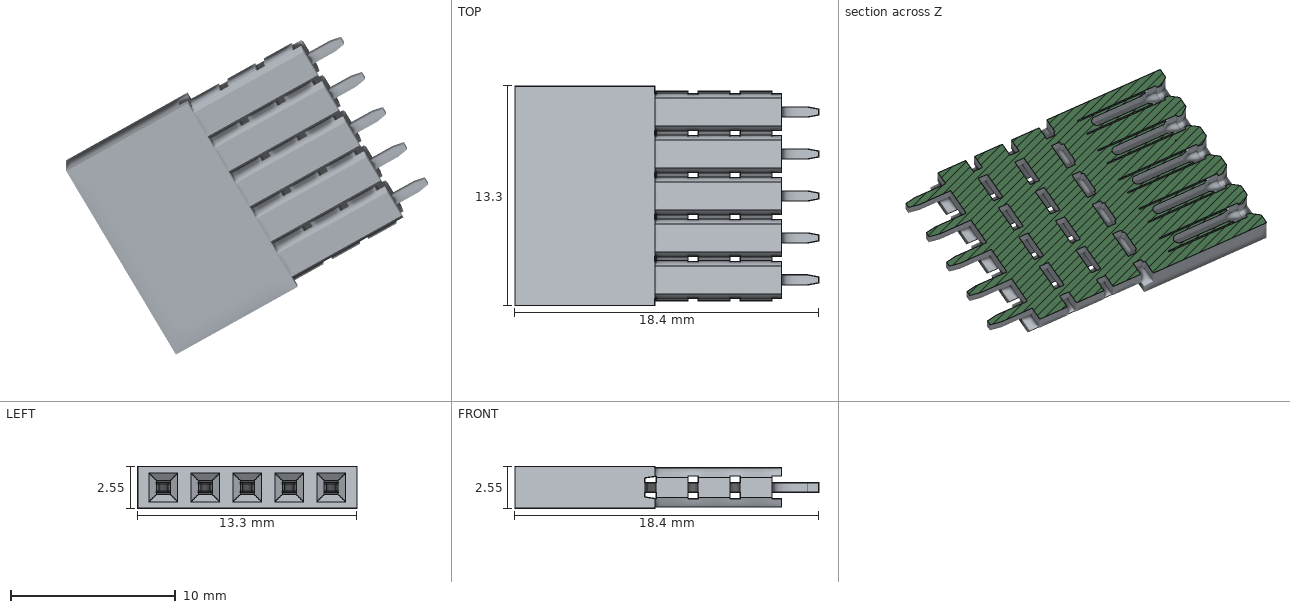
import cadquery as cq

total_length = 18.43
pole_count = 5
pitch = 2.55
pole_centres = [(i - (pole_count - 1) / 2) * pitch for i in range(pole_count)]

body_length = 8.5
body_width = 13.3
body_height = 2.55
notch_floor_x = 7.89
notch_floor_height = 1.15
notch_mouth_height = 1.33

rail_end_x = 16.18
rail_height = 2.4
rail_flat_width = 1.7
rail_base_width = 2.32

block_count = 3
block_height = 1.22
block_start_x = 8.57
block_length = 1.94
block_spacing = pitch
window_height = 1.36
tail_width = pole_count * pitch

funnel_mouth = 1.73
funnel_depth = 0.55
throat_size = 0.85
chamber_start_x = 0.85
chamber_end_x = 6.27
chamber_width = 1.18
chamber_height = 0.95

contact_thickness = 0.59
fork_width = 1.07
fork_tip_x = 1.47
fork_lead_in_length = 0.45
fork_lead_in_width = 0.22
fork_gap = 0.55
fork_gap_end_x = 5.53
fork_gap_chamfer = 0.07
shoulder_x = 8.02
pin_width = 0.63
pin_taper_x = 17.73
pin_tip_width = 0.37


def box_along_x(start_x, end_x, width, height, y=0.0):
    """Box between two X stations, centred on the given Y and on Z = 0."""
    length = end_x - start_x
    return cq.Workplane("XY").box(length, width, height).translate((start_x + length / 2, y, 0))


def make_body():
    body = box_along_x(0, body_length, body_width, body_height)
    notch = (
        cq.Workplane("XZ")
        .moveTo(notch_floor_x, -notch_floor_height / 2)
        .lineTo(body_length, -notch_mouth_height / 2)
        .lineTo(body_length, notch_mouth_height / 2)
        .lineTo(notch_floor_x, notch_floor_height / 2)
        .close()
        .extrude(body_width / 2, both=True)
    )
    return body.cut(notch)


def make_rail(y):
    """Bar whose top and bottom edges are chamfered down to the cross blocks."""
    half_section = [
        (rail_flat_width / 2, rail_height / 2),
        (rail_base_width / 2, block_height / 2),
        (rail_base_width / 2, -block_height / 2),
        (rail_flat_width / 2, -rail_height / 2),
    ]
    mirrored = [(-across, up) for across, up in reversed(half_section)]
    return (
        cq.Workplane("YZ", origin=(body_length, y, 0))
        .polyline(half_section + mirrored)
        .close()
        .extrude(rail_end_x - body_length)
    )


def make_tail():
    """Rails and cross blocks, with windows cut before, between and after the blocks."""
    tail = make_rail(pole_centres[0])
    for y in pole_centres[1:]:
        tail = tail.union(make_rail(y))
    window_start = body_length
    for i in range(block_count):
        block_start = block_start_x + i * block_spacing
        block_end = block_start + block_length
        tail = tail.union(box_along_x(block_start, block_end, tail_width, block_height))
        tail = tail.cut(box_along_x(window_start, block_start, tail_width, window_height))
        window_start = block_end
    return tail.cut(box_along_x(window_start, rail_end_x, tail_width, window_height))


def make_socket(y):
    """Tapered entry, square throat and contact chamber, as one cutting solid."""
    funnel = (
        cq.Workplane("YZ", origin=(0, y, 0))
        .rect(funnel_mouth, funnel_mouth)
        .workplane(offset=funnel_depth)
        .rect(throat_size, throat_size)
        .loft(ruled=True)
    )
    throat = box_along_x(funnel_depth, chamber_start_x, throat_size, throat_size, y)
    chamber = box_along_x(chamber_start_x, chamber_end_x, chamber_width, chamber_height, y)
    return funnel.union(throat).union(chamber)


def make_contact(y):
    """Flat contact: two tines around a chamfered, round-ended gap, a shoulder and a tapered pin."""
    gap_half = fork_gap / 2
    fork_half = fork_width / 2
    pin_half = pin_width / 2
    tip_half = pin_tip_width / 2
    lead_in_x = fork_tip_x + fork_lead_in_length
    contact = (
        cq.Workplane("XY")
        .moveTo(fork_tip_x, fork_half)
        .lineTo(shoulder_x, fork_half)
        .lineTo(shoulder_x, pin_half)
        .lineTo(pin_taper_x, pin_half)
        .lineTo(total_length, tip_half)
        .lineTo(total_length, -tip_half)
        .lineTo(pin_taper_x, -pin_half)
        .lineTo(shoulder_x, -pin_half)
        .lineTo(shoulder_x, -fork_half)
        .lineTo(fork_tip_x, -fork_half)
        .lineTo(fork_tip_x, -gap_half - fork_lead_in_width)
        .lineTo(lead_in_x, -gap_half)
        .lineTo(fork_gap_end_x - gap_half, -gap_half)
        .threePointArc((fork_gap_end_x, 0), (fork_gap_end_x - gap_half, gap_half))
        .lineTo(lead_in_x, gap_half)
        .lineTo(fork_tip_x, gap_half + fork_lead_in_width)
        .close()
        .extrude(contact_thickness / 2, both=True)
    )
    gap_region = cq.selectors.BoxSelector(
        (fork_tip_x, -gap_half - fork_lead_in_width, -contact_thickness),
        (fork_gap_end_x, gap_half + fork_lead_in_width, contact_thickness),
    )
    gap_edges = contact.faces("|Z").edges(gap_region)
    return gap_edges.chamfer(fork_gap_chamfer).translate((0, y, 0))


result = make_body().union(make_tail())
for pole_y in pole_centres:
    result = result.cut(make_socket(pole_y)).union(make_contact(pole_y))